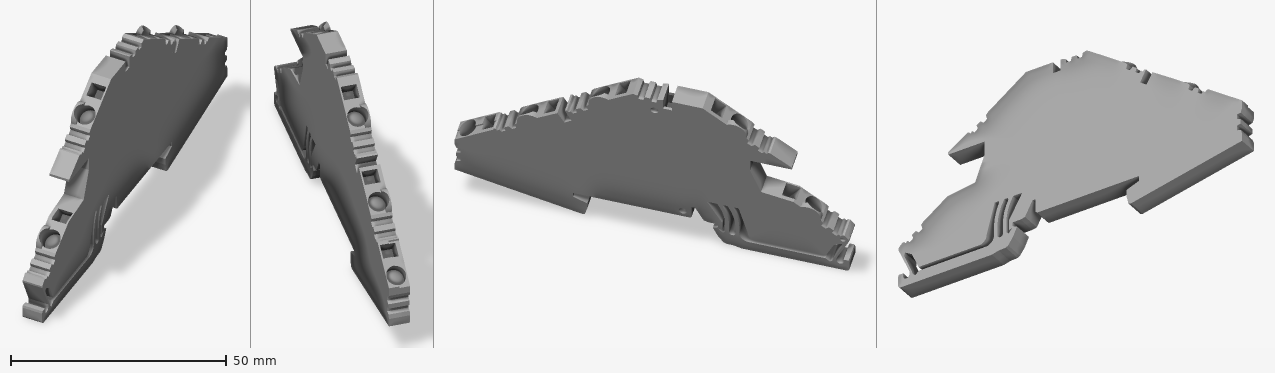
import cadquery as cq
import math

BLOCK_LENGTH = 95.0
BLOCK_WIDTH = 5.1
HALF_WIDTH = BLOCK_WIDTH / 2
BLOCK_HEIGHT = 47.6

SLOPE_ANGLE = 35.0
SLOPE_COS = math.cos(math.radians(SLOPE_ANGLE))
SLOPE_SIN = math.sin(math.radians(SLOPE_ANGLE))

MIRROR_LINE = 51.2
LEFT_STEP = (-17.2, -12.0)
RIGHT_STEP = (17.9, -24.1)

TOOTH_HALF_WIDTH = 0.7
GROOVE_INNER = 0.95
GROOVE_OUTER = 2.2
LAND_START = 2.4
GROOVE_DEPTH = 1.0
LAND_END = 3.4
LAND_RISE = 0.4
TOP_MARKER = (46.35, 47.2)
END_MARKER = (0.4, 12.3)
SLOPE_MARKER = (72.8, 38.0)

BUMP_START = (65.4, 43.5)
BUMP_MIDDLE = (69.3, 42.9)
BUMP_END = (70.2, 40.2)
BUMP_WIDTH = 1.4
BUMP_LIP = (70.8, 39.5)
MARKER_LAND = [(74.5, 36.5), (75.0, 36.0), (75.4, 36.5)]
BORE_START = (67.8, 41.9)
LOWEST_BORE_START = (2.3, 19.7)

BORE_RADIUS = 2.4
BORE_OFFSET = 0.1
BORE_DEPTH = 3.5
BORE_OVERRUN = 3.8

SLOT_UPHILL = 6.2
SLOT_LENGTH = 3.3
SLOT_WIDTH = 3.8
SLOT_OFFSET = 0.3
SLOT_DEPTH = 5.2
SLOT_OVERRUN = 1.4

BRIDGE_LEFT = 50.15
BRIDGE_RIGHT = 52.2
BRIDGE_FLOOR = 44.5
POCKET_WIDTH = 3.7
POCKET_DEPTH = 2.85

LOWEST_SLOPE_START = (0.0, 18.0)
LOWEST_SLOPE_END = (9.3, 24.5)
SLOPE_STEP = 0.5

SIDE_HOLES = [((48.1, 43.2), 0.95), ((54.9, 9.1), 0.95), ((93.4, 10.8), 0.7)]
SIDE_HOLE_DEPTH = 2.4

FOOT_ROUND = 0.9

CONTACT_THICKNESS = 1.9
BAR_HEIGHT = 1.5
BAR_WIDTH = 2.85


def profile_plane(x):
    """Plane at the given X, looking toward +X, in profile coordinates."""
    return cq.Plane(origin=(x, BLOCK_LENGTH, 0), xDir=(0, -1, 0), normal=(-1, 0, 0))


def full_width(profile):
    """Extrude a closed profile drawn on the +X side over the whole block width."""
    return profile.extrude(BLOCK_WIDTH)


def side_sketch():
    return cq.Workplane(profile_plane(HALF_WIDTH))


def shift(point, step):
    return (point[0] + step[0], point[1] + step[1])


def mirror(point):
    return (2 * MIRROR_LINE - point[0], point[1])


def mirror_path(points):
    return [mirror(point) for point in reversed(points)]


def marker_path(centre, angle, with_lands=False):
    """Outline of two marker grooves, followed in the direction of the angle."""
    half = [
        (TOOTH_HALF_WIDTH, 0),
        (GROOVE_INNER, -GROOVE_DEPTH),
        (GROOVE_OUTER, -GROOVE_DEPTH),
        (LAND_START, 0),
    ]
    if with_lands:
        half.append((LAND_END, LAND_RISE))
    local = [(-along, out) for along, out in reversed(half)] + half
    cos_a = math.cos(math.radians(angle))
    sin_a = math.sin(math.radians(angle))
    return [
        (
            centre[0] + along * cos_a - out * sin_a,
            centre[1] + along * sin_a + out * cos_a,
        )
        for along, out in local
    ]



slope_grooves = marker_path(SLOPE_MARKER, -SLOPE_ANGLE)[1:-1]
upper_right_entry = [BUMP_START, BUMP_END, BUMP_LIP] + slope_grooves + MARKER_LAND
upper_left_entry = mirror_path(upper_right_entry)
middle_right_entry = [shift(point, RIGHT_STEP) for point in upper_right_entry]
middle_left_entry = [shift(point, LEFT_STEP) for point in upper_left_entry]


def housing_blank():
    """Plate with the outer contour, without the bumps around the bores."""
    end_face = [(0, 6.7)] + marker_path(END_MARKER, 90, with_lands=True)
    lowest_slope = [LOWEST_SLOPE_START, LOWEST_SLOPE_END]
    side_notch = [(24.7, 34.9), (26.4, 32.0), (28.1, 33.2), (26.5, 36.3)]
    top_edge = (
        marker_path(TOP_MARKER, 0, with_lands=True)
        + [
            (BRIDGE_LEFT, BLOCK_HEIGHT),
            (BRIDGE_LEFT, BRIDGE_FLOOR),
            (BRIDGE_RIGHT, BRIDGE_FLOOR),
            (BRIDGE_RIGHT, BLOCK_HEIGHT),
            (59.6, BLOCK_HEIGHT),
        ]
    )
    overhang = [(75.9, 36.5), (81.1, 33.0), (81.1, 32.3), (71.0, 32.3), (71.0, 28.8), (73.7, 21.8)]
    middle_ledge = [(81.5, 20.7)]
    strap_end = [(93.7, 12.3), (94.9, 11.1), (94.9, 10.6), (91.8, 3.7)]
    foot_end = [(93.6, 3.7), (94.8, 3.7), (BLOCK_LENGTH, 3.1), (BLOCK_LENGTH, FOOT_ROUND)]
    foot_bottom = [(69.05, 0), (67.2, 0.5), (65.25, 0.6), (64.6, 0.95)]
    foot_nose = [(63.3, 2.85), (62.1, 5.3), (63.35, 5.9), (63.35, 6.9)]
    rail_hook = [(61.2, 6.9), (59.9, 7.2), (57.8, 11.1), (57.0, 11.1), (57.0, 7.6), (56.6, 7.2)]
    rail_seat = [(28.5, 7.2), (28.5, 5.9), (31.9, 4.6), (31.9, 2.85), (31.3, 0.6), (30.7, 0.4)]

    before_groove = (
        end_face
        + lowest_slope
        + middle_left_entry
        + side_notch
        + upper_left_entry
        + top_edge
        + upper_right_entry
        + overhang
        + middle_ledge
        + middle_right_entry
        + strap_end
    )
    profile = (
        side_sketch()
        .polyline(before_groove)
        .lineTo(91.8, 2.8)
        .threePointArc((92.7, 2.0), (93.6, 2.8))
    )
    for point in foot_end:
        profile = profile.lineTo(*point)
    profile = profile.tangentArcPoint((BLOCK_LENGTH - FOOT_ROUND, 0), relative=False)
    for point in foot_bottom + foot_nose + rail_hook + rail_seat:
        profile = profile.lineTo(*point)
    return full_width(profile.close())


def bump(place):
    """Rounded wall beside a bore, along the -X side; `place` moves its points to the terminal."""
    return (
        cq.Workplane(profile_plane(BUMP_WIDTH - HALF_WIDTH))
        .moveTo(*place(BUMP_START))
        .threePointArc(place(BUMP_MIDDLE), place(BUMP_END))
        .close()
        .extrude(BUMP_WIDTH)
    )


def spring_slots():
    """Slots that leave the leaf springs and the long foot arm."""
    inner = (
        side_sketch()
        .moveTo(60.7, 14.2)
        .lineTo(63.2, 14.2)
        .threePointArc((64.4, 11.6), (65.0, 9.0))
        .lineTo(65.0, 4.75)
        .lineTo(64.5, 4.3)
        .lineTo(63.35, 5.5)
        .lineTo(64.4, 5.1)
        .lineTo(64.4, 7.8)
        .close()
    )
    middle = (
        side_sketch()
        .moveTo(64.7, 14.2)
        .lineTo(65.6, 14.2)
        .threePointArc((67.0, 11.1), (67.5, 7.8))
        .lineTo(67.5, 4.75)
        .threePointArc((66.8, 4.1), (66.0, 4.75))
        .lineTo(66.0, 7.8)
        .threePointArc((65.6, 10.7), (64.5, 13.7))
        .close()
    )
    outer = (
        side_sketch()
        .moveTo(67.1, 14.2)
        .lineTo(68.3, 14.2)
        .lineTo(70.5, 6.2)
        .threePointArc((70.95, 4.75), (72.2, 3.9))
        .lineTo(89.3, 3.9)
        .lineTo(91.2, 8.2)
        .lineTo(93.1, 9.3)
        .lineTo(93.3, 8.5)
        .lineTo(90.8, 2.5)
        .lineTo(90.2, 2.0)
        .lineTo(89.2, 2.85)
        .lineTo(71.0, 2.85)
        .threePointArc((69.1, 3.5), (68.5, 4.9))
        .lineTo(68.5, 7.8)
        .threePointArc((68.0, 11.1), (67.1, 13.9))
        .close()
    )
    return full_width(inner).union(full_width(middle)).union(full_width(outer))


def slope_plane(start, side, offset):
    """Plane on a terminal slope: local y runs uphill, the normal points out.

    `side` is +1 for a slope facing -Y and -1 for a slope facing +Y.
    """
    return cq.Plane(
        origin=(offset, BLOCK_LENGTH - start[0], start[1]),
        xDir=(side, 0, 0),
        normal=(0, -side * SLOPE_SIN, SLOPE_COS),
    )


def terminal_cut(start, side):
    """Screw bore and rectangular wire slot of one terminal."""
    bore = (
        cq.Workplane(slope_plane(start, side, BORE_OFFSET))
        .workplane(offset=-BORE_DEPTH)
        .circle(BORE_RADIUS)
        .extrude(BORE_DEPTH + BORE_OVERRUN)
    )
    slot = (
        cq.Workplane(slope_plane(start, side, SLOT_OFFSET))
        .workplane(offset=-SLOT_DEPTH)
        .center(0, SLOT_UPHILL)
        .rect(SLOT_WIDTH, SLOT_LENGTH)
        .extrude(SLOT_DEPTH + SLOT_OVERRUN)
    )
    return bore.union(slot)


def bridge_pocket():
    middle = BLOCK_LENGTH - (BRIDGE_LEFT + BRIDGE_RIGHT) / 2
    return (
        cq.Workplane("XY", origin=(0, middle, BRIDGE_FLOOR))
        .rect(POCKET_WIDTH, BRIDGE_RIGHT - BRIDGE_LEFT)
        .extrude(-POCKET_DEPTH)
    )


def lowest_slope_step():
    """Strip taken off the lowest slope over its -X half."""
    drop = (0, -SLOPE_STEP)
    return (
        cq.Workplane(profile_plane(0))
        .polyline([
            LOWEST_SLOPE_START,
            LOWEST_SLOPE_END,
            shift(LOWEST_SLOPE_END, drop),
            shift(LOWEST_SLOPE_START, drop),
        ])
        .close()
        .extrude(HALF_WIDTH)
    )


def side_hole(centre, radius):
    return (
        cq.Workplane(profile_plane(-HALF_WIDTH))
        .center(*centre)
        .circle(radius)
        .extrude(-SIDE_HOLE_DEPTH)
    )



def contact_centre(start, side):
    """Centre of a contact disc, in profile coordinates."""
    depth = BORE_DEPTH + CONTACT_THICKNESS / 2
    return (start[0] - side * depth * SLOPE_SIN, start[1] - depth * SLOPE_COS)


def contact_disc(start, side):
    """Disc that closes the bottom of a bore."""
    return (
        cq.Workplane(slope_plane(start, side, BORE_OFFSET))
        .workplane(offset=-BORE_DEPTH)
        .circle(BORE_RADIUS)
        .extrude(-CONTACT_THICKNESS)
    )


def connecting_bar(start, end):
    """Straight bar between two contact discs."""
    length = math.dist(start, end)
    tilt = math.degrees(math.atan2(end[1] - start[1], end[0] - start[0]))
    middle = ((start[0] + end[0]) / 2, (start[1] + end[1]) / 2)
    return (
        cq.Workplane(profile_plane(BORE_OFFSET))
        .center(*middle)
        .transformed(rotate=(0, 0, tilt))
        .rect(length, BAR_HEIGHT)
        .extrude(BAR_WIDTH / 2, both=True)
    )


def conductor(terminals):
    """Contact discs of one level, joined by a bar where the level has two."""
    body = contact_disc(*terminals[0])
    for terminal in terminals[1:]:
        bar = connecting_bar(contact_centre(*terminals[0]), contact_centre(*terminal))
        body = body.union(contact_disc(*terminal)).union(bar)
    return body



FACING_LEFT = -1
FACING_RIGHT = 1
upper_left_bore = mirror(BORE_START)
levels = [
    [(LOWEST_BORE_START, FACING_LEFT)],
    [
        (shift(upper_left_bore, LEFT_STEP), FACING_LEFT),
        (shift(BORE_START, RIGHT_STEP), FACING_RIGHT),
    ],
    [(upper_left_bore, FACING_LEFT), (BORE_START, FACING_RIGHT)],
]
bump_places = [
    lambda point: point,
    mirror,
    lambda point: shift(point, RIGHT_STEP),
    lambda point: shift(mirror(point), LEFT_STEP),
]

housing = housing_blank()
for place in bump_places:
    housing = housing.union(bump(place))
housing = housing.cut(spring_slots()).cut(bridge_pocket()).cut(lowest_slope_step())
for hole_centre, hole_radius in SIDE_HOLES:
    housing = housing.cut(side_hole(hole_centre, hole_radius))

conductors = []
for terminals in levels:
    for terminal in terminals:
        housing = housing.cut(terminal_cut(*terminal))
    level_conductor = conductor(terminals)
    housing = housing.cut(level_conductor)
    conductors.append(level_conductor)

result = cq.Compound.makeCompound([housing.val()] + [body.val() for body in conductors])